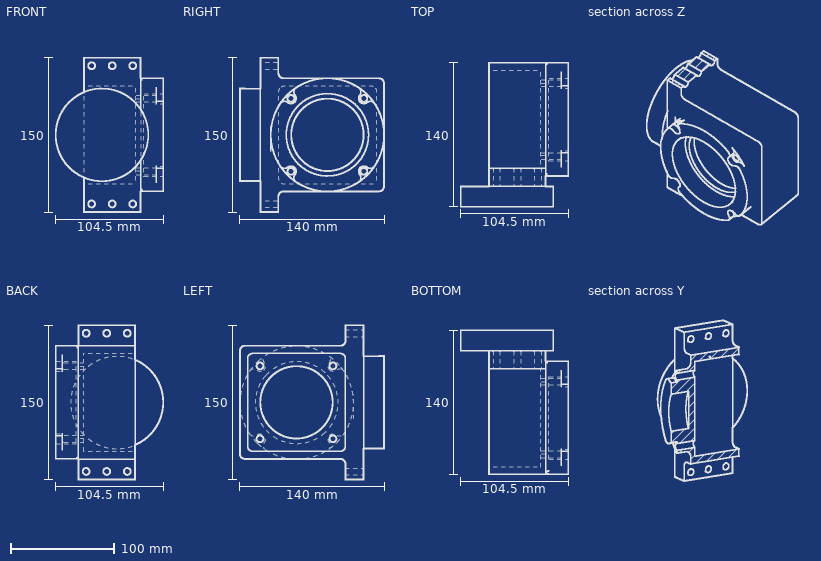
import cadquery as cq
import math

pad_diameter = 90.0
pad_thickness = 20.0
plate_height = 150.0
plate_thickness = 17.5
frame_size = 110.0
frame_wall = 7.5
flange_wall = 5.0
frame_depth = 55.0
frame_left = -17.5
corner_radius = 5.0
flange_length = 22.0
flange_clearance = 0.03
wall_bore_diameter = 70.0
wall_bore_length = 7.5
flange_bore_diameter = 80.0
hole_diameter = 6.5
bolt_circle_diameter = 100.0
spotface_diameter = 10.0
spotface_flare = 5.0
spotface_depth = 6.6
plate_hole_pitch = 20.0
plate_hole_edge = 8.0

frame_right = frame_left + frame_depth
flange_end = frame_right + flange_length
flange_diameter = frame_size - flange_clearance
frame_half = frame_size / 2
opening_size = frame_size - 2 * frame_wall
plate_back = -opening_size / 2
plate_front = plate_back - plate_thickness
frame_middle = (frame_left + frame_right) / 2
selection_margin = 0.2


def rod_along_x(diameter, start, end):
    """Cylinder on the bore axis between two X positions."""
    return cq.Workplane("YZ", origin=(start, 0, 0)).circle(diameter / 2).extrude(end - start)


def bolt_rods(diameter, start, end):
    """Four cylinders along X, at 45 degrees on the bolt circle."""
    return (
        cq.Workplane("YZ", origin=(start, 0, 0))
        .polarArray(bolt_circle_diameter / 2, 45, 360, 4)
        .circle(diameter / 2)
        .extrude(end - start)
    )


def polar(radius, angle):
    """Point at a radius and an angle in radians."""
    return (radius * math.cos(angle), radius * math.sin(angle))


def make_frame():
    """Square block with rounded corners around the bore axis."""
    block = cq.Workplane("YZ", origin=(frame_left, 0, 0)).rect(frame_size, frame_size).extrude(frame_depth)
    return block.edges("|X").fillet(corner_radius)


def add_flange(body):
    """Round flange on the frame wall, with a fillet that runs out at the frame edges."""
    body = body.union(rod_along_x(flange_diameter, frame_right, flange_end))
    seam = cq.selectors.BoxSelector(
        (frame_right - selection_margin, -frame_size, -frame_size),
        (frame_right + selection_margin, frame_size, frame_size),
        boundingbox=True,
    )
    largest_radius = cq.selectors.RadiusNthSelector(-1)
    return body.edges(seam).edges("%CIRCLE").edges(largest_radius).fillet(corner_radius)


def add_plate(body):
    """Mounting plate on the -Y side, with fillets where the frame meets it."""
    plate = cq.Workplane("XY").box(frame_depth, plate_thickness, plate_height).translate(
        (frame_middle, (plate_front + plate_back) / 2, 0)
    )
    strip = (
        cq.Workplane("YZ", origin=(frame_left, plate_back, 0))
        .rect(2 * plate_thickness, frame_size)
        .extrude(frame_depth)
    )
    plate = plate.union(strip)
    joint = cq.selectors.BoxSelector(
        (frame_left - selection_margin, plate_back - selection_margin, -frame_half - selection_margin),
        (frame_right + selection_margin, plate_back + selection_margin, frame_half + selection_margin),
    )
    return body.union(plate.edges("|X").edges(joint).fillet(corner_radius))


def cut_opening(body):
    """Rounded opening that leaves one wall in front of the flange."""
    opening = (
        cq.Workplane("YZ", origin=(frame_left, 0, 0))
        .rect(opening_size, opening_size)
        .extrude(frame_depth - flange_wall)
        .edges("|X")
        .fillet(corner_radius)
    )
    return body.cut(opening)


def cut_bores(body):
    """Stepped bore through the wall and the flange."""
    step_x = frame_right - flange_wall + wall_bore_length
    body = body.cut(rod_along_x(wall_bore_diameter, frame_left, flange_end))
    return body.cut(rod_along_x(flange_bore_diameter, step_x, flange_end))


def make_spotface():
    """Round recess on the +Y side of the bolt circle, flared by tangent arcs out to the flange rim."""
    rim_radius = flange_diameter / 2
    bolt_radius = bolt_circle_diameter / 2
    spot_radius = spotface_diameter / 2
    arc_center_radius = rim_radius - spotface_flare
    center_distance = spot_radius + spotface_flare
    flare_angle = math.acos(
        (bolt_radius**2 + arc_center_radius**2 - center_distance**2) / (2 * bolt_radius * arc_center_radius)
    )
    arc_y, arc_z = polar(arc_center_radius, flare_angle)
    toward_recess = math.atan2(-arc_z, bolt_radius - arc_y)
    join_offset_y, join_offset_z = polar(spotface_flare, toward_recess)
    middle_offset_y, middle_offset_z = polar(spotface_flare, (toward_recess + flare_angle) / 2)
    join_y = arc_y + join_offset_y
    join_z = arc_z + join_offset_z
    middle_y = arc_y + middle_offset_y
    middle_z = arc_z + middle_offset_z
    rim_y, rim_z = polar(rim_radius, flare_angle)
    outside_y, outside_z = polar(rim_radius + spotface_flare, flare_angle)
    return (
        cq.Workplane("YZ", origin=(flange_end - spotface_depth, 0, 0))
        .moveTo(outside_y, outside_z)
        .lineTo(rim_y, rim_z)
        .threePointArc((middle_y, middle_z), (join_y, join_z))
        .threePointArc((bolt_radius - spot_radius, 0), (join_y, -join_z))
        .threePointArc((middle_y, -middle_z), (rim_y, -rim_z))
        .lineTo(outside_y, -outside_z)
        .close()
        .extrude(spotface_depth)
    )


def cut_bolt_holes(body):
    """Flange bolt holes, each with a spotface open to the rim."""
    body = body.cut(bolt_rods(hole_diameter, frame_left, flange_end))
    spotface = make_spotface()
    for angle in (45, 135, 225, 315):
        body = body.cut(spotface.rotate((0, 0, 0), (1, 0, 0), angle))
    return body


def cut_plate_holes(body):
    """A row of three holes through each end of the plate."""
    row_spacing = plate_height - 2 * plate_hole_edge
    holes = (
        cq.Workplane("XZ", origin=(frame_middle, plate_back, 0))
        .rarray(plate_hole_pitch, row_spacing, 3, 2)
        .circle(hole_diameter / 2)
        .extrude(plate_thickness)
    )
    return body.cut(holes)


def add_pad(body):
    """Round pad on the front of the plate."""
    pad = cq.Workplane("XZ", origin=(0, plate_front, 0)).circle(pad_diameter / 2).extrude(pad_thickness)
    return body.union(pad)


result = make_frame()
result = add_flange(result)
result = add_plate(result)
result = cut_opening(result)
result = cut_bores(result)
result = cut_bolt_holes(result)
result = cut_plate_holes(result)
result = add_pad(result)